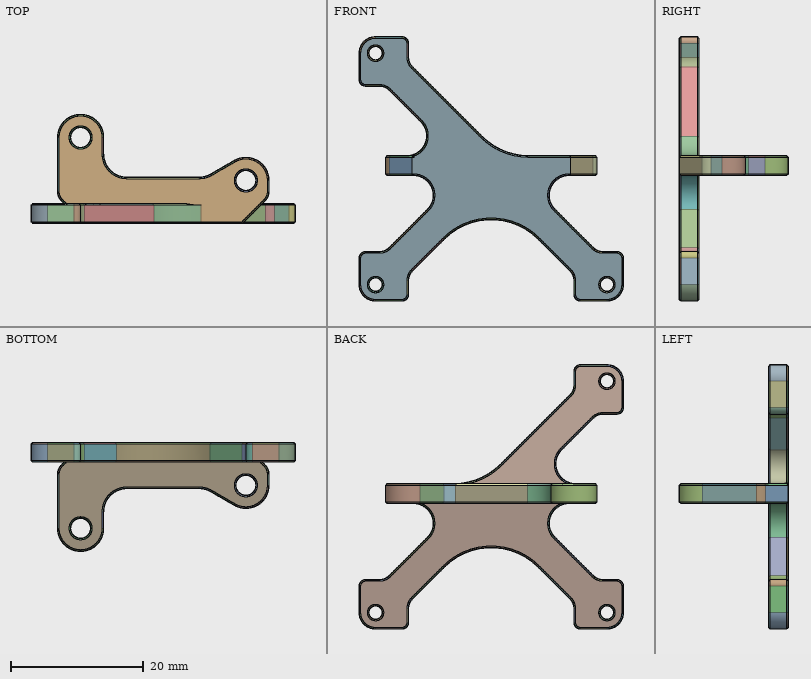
import cadquery as cq
import math


thickness = 3.0
edge_chamfer = 0.25

plate_size = 40.0
pad_hole_spacing = 35.0
pad_hole_diameter = 2.0
pad_reach = 5.0
arm_width = 5.0
pad_tip_radius = 1.0
pad_root_radius = 2.0
lug_root_radius = 3.0
wide_root_radius = 10.0

lug_width = 32.0
lug_hole_spacing = 25.0
lug_hole_diameter = 3.0
lug_top = 2.0
tall_hole_y = 13.0
short_tip_y = 10.0
bay_y = 7.0
bay_slope = math.radians(30)
slope_run = 4.0
slope_radius = 2.0

half = plate_size / 2
hole_at = pad_hole_spacing / 2
pad_outer_radius = half - hole_at
pad_inner = hole_at - pad_reach
arm_offset = arm_width / math.sqrt(2)
lug_half = lug_width / 2
lug_bottom = lug_top - thickness
lug_hole_x = lug_hole_spacing / 2
lug_tip_radius = lug_half - lug_hole_x
tall_tip_y = tall_hole_y + lug_tip_radius
short_hole_y = short_tip_y - lug_tip_radius
front_half = lug_half - slope_run


def toward(start, end, distance):
    """Point at a distance from start along the line to end."""
    length = math.dist(start, end)
    return tuple(s + (e - s) * distance / length for s, e in zip(start, end))


def rounded_outline(plane, corners):
    """Closed outline through (x, y, radius) corners; radius 0 stays sharp."""
    points = [corner[:2] for corner in corners]
    outline = cq.Workplane(plane)
    for i, (x, y, radius) in enumerate(corners):
        corner = (x, y)
        before = points[i - 1]
        after = points[(i + 1) % len(points)]
        start = corner
        if radius:
            to_before = toward((0, 0), (before[0] - x, before[1] - y), 1)
            to_after = toward((0, 0), (after[0] - x, after[1] - y), 1)
            cosine = to_before[0] * to_after[0] + to_before[1] * to_after[1]
            half_angle = math.acos(cosine) / 2
            start = toward(corner, before, radius / math.tan(half_angle))
            end = toward(corner, after, radius / math.tan(half_angle))
            chord_middle = ((start[0] + end[0]) / 2, (start[1] + end[1]) / 2)
            middle = toward(corner, chord_middle, radius / math.sin(half_angle) - radius)
        outline = outline.lineTo(*start) if i else outline.moveTo(*start)
        if radius:
            outline = outline.threePointArc(middle, end)
    return outline.close()


def pad_corners(x_side, z_side):
    """Pad outline from its inner vertical side round to its inner level side."""
    return [
        (x_side * pad_inner, z_side * (pad_inner + arm_offset), pad_root_radius),
        (x_side * pad_inner, z_side * half, pad_tip_radius),
        (x_side * half, z_side * half, pad_outer_radius),
        (x_side * half, z_side * pad_inner, pad_tip_radius),
        (x_side * (pad_inner + arm_offset), z_side * pad_inner, pad_root_radius),
    ]


def make_plate():
    corners = [
        (arm_offset - lug_top, lug_top, wide_root_radius),
        *pad_corners(-1, 1),
        (-arm_offset - lug_top, lug_top, lug_root_radius),
        (-lug_half, lug_top, 0),
        (-lug_half, lug_bottom, 0),
        (lug_bottom - arm_offset, lug_bottom, lug_root_radius),
        *reversed(pad_corners(-1, -1)),
        (0, -arm_offset, wide_root_radius),
        *pad_corners(1, -1),
        (arm_offset - lug_bottom, lug_bottom, lug_root_radius),
        (lug_half, lug_bottom, 0),
        (lug_half, lug_top, 0),
    ]
    holes = [(-hole_at, hole_at), (-hole_at, -hole_at), (hole_at, -hole_at)]
    plate = rounded_outline("XZ", corners).extrude(-thickness)
    cutters = cq.Workplane("XZ").pushPoints(holes).circle(pad_hole_diameter / 2).extrude(-thickness)
    return plate.cut(cutters).faces("<Y or >Y").chamfer(edge_chamfer)


def trim_to_lug_slopes(plate):
    """Cut the plate's side stubs back inside the lug's sloped front corners."""
    clearance = 0.4
    reach = lug_half + clearance
    cut_front_x = front_half - edge_chamfer * math.sqrt(2)
    for side in (-1, 1):
        wedge = (
            cq.Workplane("XY", origin=(0, 0, lug_bottom - clearance))
            .moveTo(side * (cut_front_x - clearance), -clearance)
            .lineTo(side * reach, -clearance)
            .lineTo(side * reach, reach - cut_front_x)
            .close()
            .extrude(thickness + 2 * clearance)
        )
        plate = plate.cut(wedge)
    return plate


def make_lug():
    slope_top_x = lug_hole_x - lug_tip_radius * math.sin(bay_slope)
    slope_top_y = short_hole_y + lug_tip_radius * math.cos(bay_slope)
    slope_foot_x = slope_top_x - (slope_top_y - bay_y) / math.tan(bay_slope)
    tip_corner_y = slope_top_y + (lug_half - slope_top_x) * math.tan(bay_slope)
    tall_inner_x = lug_tip_radius - lug_hole_x

    body = rounded_outline("XY", [
        (-front_half, 0, 0),
        (front_half, 0, 0),
        (lug_half, slope_run, slope_radius),
        (lug_half, tip_corner_y, lug_tip_radius),
        (slope_foot_x, bay_y, lug_tip_radius),
        (tall_inner_x, bay_y, lug_tip_radius),
        (tall_inner_x, tall_hole_y, 0),
        (-lug_hole_x, tall_tip_y, 0),
        (-lug_half, tall_hole_y, 0),
        (-lug_half, slope_run, slope_radius),
    ]).extrude(thickness)
    tip = cq.Workplane("XY").center(-lug_hole_x, tall_hole_y).circle(lug_tip_radius).extrude(thickness)
    holes = [(-lug_hole_x, tall_hole_y), (lug_hole_x, short_hole_y)]
    cutters = cq.Workplane("XY").pushPoints(holes).circle(lug_hole_diameter / 2).extrude(thickness)
    lug = body.union(tip).cut(cutters)
    return lug.faces("<Z or >Z").chamfer(edge_chamfer).translate((0, 0, lug_bottom))


result = trim_to_lug_slopes(make_plate()).union(make_lug())